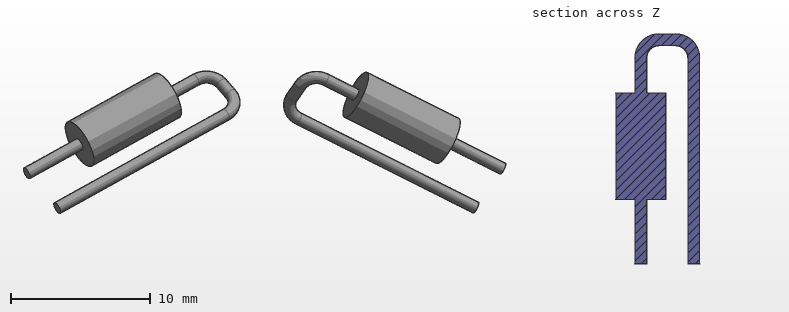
import cadquery as cq

total_length = 16.47
lead_pitch = 3.8

body_diameter = 3.6
body_front_y = 4.6
body_length = 7.63
body_back_y = body_front_y + body_length

lead_diameter = 0.87
lead_radius = lead_diameter / 2
bend_radius = 1.32

top_centre_y = total_length - lead_radius
bend_start_y = top_centre_y - bend_radius


def make_body():
    """Plain cylinder standing along Y."""
    front_plane = cq.Workplane("XZ", origin=(0, body_front_y, 0))
    return front_plane.circle(body_diameter / 2).extrude(-body_length)


def make_straight_lead():
    """Lead from the front tips up to the front face of the body."""
    return cq.Workplane("XZ").circle(lead_radius).extrude(-body_front_y)


def make_bent_lead():
    """Lead that leaves the back of the body, turns over twice and runs back to the front."""
    path = (
        cq.Workplane("XY")
        .moveTo(0, body_back_y)
        .lineTo(0, bend_start_y)
        .radiusArc((bend_radius, top_centre_y), bend_radius)
        .lineTo(lead_pitch - bend_radius, top_centre_y)
        .radiusArc((lead_pitch, bend_start_y), bend_radius)
        .lineTo(lead_pitch, 0)
    )
    back_plane = cq.Workplane("XZ", origin=(0, body_back_y, 0))
    return back_plane.circle(lead_radius).sweep(path)


result = make_body().union(make_straight_lead()).union(make_bent_lead())